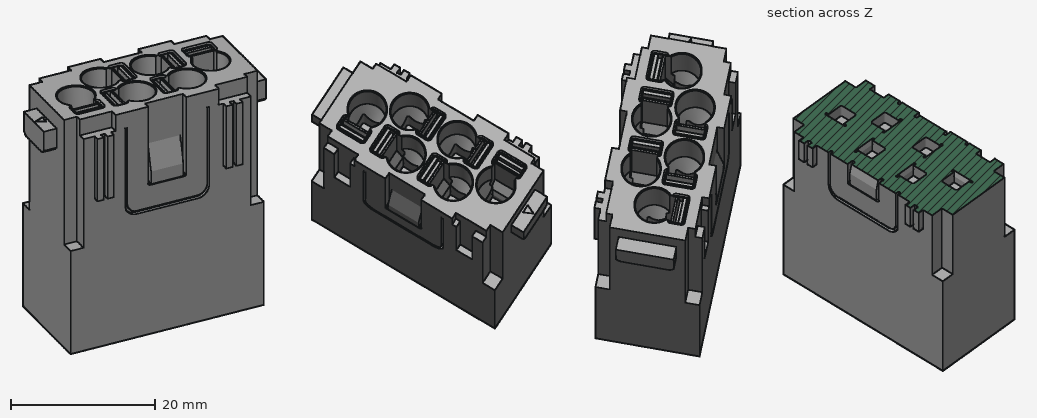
import cadquery as cq

WIDTH = 14.7
LENGTH = 30
HEIGHT = 36.6
HALF_WIDTH = WIDTH / 2
HALF_LENGTH = LENGTH / 2

CORNER_RELIEF = 2.0
CORNER_RELIEF_HEIGHT = 20.02
NOTCH_LENGTH = 4.98
NOTCH_HEIGHT = 2.55
NOTCH_DEPTH_LEFT = 1.0
NOTCH_DEPTH_RIGHT = 1.15
SHOULDER_Z = HEIGHT - NOTCH_HEIGHT

GUIDE_WIDTH = 2.55
GUIDE_HEIGHT = 10.0
GUIDE_INSET = 5.0
GUIDE_Y = HALF_LENGTH - GUIDE_INSET
RIB_HEIGHT = 0.88
RIB_SPLIT = 0.6

LATCH_WIDTH = 5.85
LATCH_HEIGHT = 12.65
LATCH_DEPTH = 1.0
LATCH_CORNER = 0.2
WEDGE_WIDTH = 5.0
WEDGE_TOP_Z = 30.1
WEDGE_CREST_Z = 26.05
WEDGE_BOTTOM_Z = 24.05
GROOVE_WIDTH = 13.03
GROOVE_BOTTOM_Z = 19.85
GROOVE_RADIUS = 1.8
GROOVE_SIDE = 0.33
GROOVE_BASE = 0.5
GROOVE_DEPTH = 0.55

TAB_SPAN = 34.0
TAB_REACH = (TAB_SPAN - LENGTH) / 2
TAB_HEIGHT = 3.6
TAB_CHAMFER = 0.5
FRONT_TAB_WIDTH = 6.15
BACK_TAB_WIDTH = 8.15
ARROW_WIDTH = 1.25
ARROW_LENGTH = 1.35
ARROW_INSET = 0.35
ARROW_DEPTH = 0.07

BORE_RADIUS = 2.65
BORE_CHAMFER = 0.15
BORE_DEPTH = 5.5
FUNNEL_DEPTH = 8.05
FUNNEL_END_RADIUS = 1.2
POCKET_WIDTH = 2.8
POCKET_NEAR = 1.35
POCKET_FAR = 1.2
POCKET_RADIUS = 0.3
POCKET_DEPTH = 10.98

NECK_WIDTH = 3.75
NECK_REACH = 2.7
NECK_DEPTH = 7.32
RAMP_REACH = 1.7
RAMP_DEPTH = 8.8
RAMP_END_DEPTH = 9.9
RIM_START = 2.25
RIM_END = 4.7
RIM_WIDTH = 4.65
RIM_RADIUS = 0.5
RIM_DEPTH = 0.22
RIM_TAPER = 45
STEP_END = 4.25
STEP_WIDTH = 3.95
STEP_DEPTH = 0.33
BLADE_START = 3.0
BLADE_END = 3.75
BLADE_SLOPE = 0.25
BLADE_DEPTH = 1.45

CAVITIES = [
    (-0.07, 10.45, 180),
    (2.78, 5.3, 270),
    (-2.78, 2.4, 90),
    (2.78, -2.45, 270),
    (-2.78, -5.3, 90),
    (0.07, -10.5, 0),
]


def block(x_range, y_range, z_range):
    """Box between pairs of coordinates."""
    lows, highs = zip(x_range, y_range, z_range)
    sizes = [high - low for low, high in zip(lows, highs)]
    return cq.Workplane("XY").box(*sizes, centered=False).translate(lows)


def cut_corners(body):
    notch_end = HALF_LENGTH - CORNER_RELIEF
    notch_start = notch_end - NOTCH_LENGTH
    for side, notch_depth in ((-1, NOTCH_DEPTH_LEFT), (1, NOTCH_DEPTH_RIGHT)):
        relief_x = sorted((side * HALF_WIDTH, side * (HALF_WIDTH - CORNER_RELIEF)))
        notch_x = sorted((side * HALF_WIDTH, side * (HALF_WIDTH - notch_depth)))
        for end in (-1, 1):
            relief_y = sorted((end * HALF_LENGTH, end * notch_end))
            notch_y = sorted((end * notch_end, end * notch_start))
            body = body.cut(block(relief_x, relief_y, (HEIGHT - CORNER_RELIEF_HEIGHT, HEIGHT)))
            body = body.cut(block(notch_x, notch_y, (SHOULDER_Z, HEIGHT)))
    return body


def add_guides(body):
    guide_z = (SHOULDER_Z - GUIDE_HEIGHT, SHOULDER_Z)
    slot_x = (-HALF_WIDTH, -HALF_WIDTH + NOTCH_DEPTH_LEFT)
    rib_x = (HALF_WIDTH, HALF_WIDTH + RIB_HEIGHT)
    for y in (-GUIDE_Y, GUIDE_Y):
        guide_y = (y - GUIDE_WIDTH / 2, y + GUIDE_WIDTH / 2)
        split_y = (y - RIB_SPLIT / 2, y + RIB_SPLIT / 2)
        body = body.cut(block(slot_x, guide_y, guide_z))
        body = body.union(block(rib_x, guide_y, guide_z).cut(block(rib_x, split_y, guide_z)))
    return body


def latch_groove():
    """U-shaped groove on the +X face, open at the shoulder height."""
    face_x = (HALF_WIDTH - GROOVE_DEPTH, HALF_WIDTH)
    outer_half = GROOVE_WIDTH / 2
    inner_half = outer_half - GROOVE_SIDE
    outer = block(face_x, (-outer_half, outer_half), (GROOVE_BOTTOM_Z, SHOULDER_Z))
    inner = block(face_x, (-inner_half, inner_half), (GROOVE_BOTTOM_Z + GROOVE_BASE, SHOULDER_Z))
    outer = outer.edges("|X and <Z").fillet(GROOVE_RADIUS)
    inner = inner.edges("|X and <Z").fillet(GROOVE_RADIUS - GROOVE_SIDE)
    return outer.cut(inner)


def latch_recess():
    """Recess on the +X face that leaves a wedge standing flush with the face."""
    floor_x = HALF_WIDTH - LATCH_DEPTH
    recess_y = (-LATCH_WIDTH / 2, LATCH_WIDTH / 2)
    recess = block((floor_x, HALF_WIDTH), recess_y, (HEIGHT - LATCH_HEIGHT, HEIGHT))
    recess = recess.edges("|X and <Z").chamfer(LATCH_CORNER)
    wedge_points = [
        (floor_x, WEDGE_BOTTOM_Z),
        (HALF_WIDTH, WEDGE_BOTTOM_Z),
        (HALF_WIDTH, WEDGE_CREST_Z),
        (floor_x, WEDGE_TOP_Z),
    ]
    wedge = cq.Workplane("XZ").polyline(wedge_points).close().extrude(WEDGE_WIDTH / 2, both=True)
    return recess.cut(wedge)


def cut_latches(body):
    for cutter in (latch_groove(), latch_recess()):
        body = body.cut(cutter).cut(cutter.mirror("YZ"))
    return body


def add_tabs(body):
    tab_z = (SHOULDER_Z - TAB_HEIGHT, SHOULDER_Z)
    for end, width in ((-1, FRONT_TAB_WIDTH), (1, BACK_TAB_WIDTH)):
        tab_y = sorted((end * HALF_LENGTH, end * (HALF_LENGTH + TAB_REACH)))
        tab = block((-width / 2, width / 2), tab_y, tab_z)
        body = body.union(tab.edges("|Y and <Z").chamfer(TAB_CHAMFER))
    base_y = -HALF_LENGTH - ARROW_INSET
    arrow_points = [
        (-ARROW_WIDTH / 2, base_y),
        (ARROW_WIDTH / 2, base_y),
        (0, base_y - ARROW_LENGTH),
    ]
    arrow = cq.Workplane("XY", origin=(0, 0, SHOULDER_Z)).polyline(arrow_points).close()
    return body.cut(arrow.extrude(-ARROW_DEPTH))


def bore_cutter():
    """Round bore and funnel below the plane Z = 0."""
    profile = [
        (0, 0),
        (BORE_RADIUS + BORE_CHAMFER, 0),
        (BORE_RADIUS, -BORE_CHAMFER),
        (BORE_RADIUS, -BORE_DEPTH),
        (FUNNEL_END_RADIUS, -FUNNEL_DEPTH),
        (0, -FUNNEL_DEPTH),
    ]
    return cq.Workplane("XZ").polyline(profile).close().revolve(360, (0, 0), (0, 1))


def release_slot_cutter():
    """Neck with a ramp towards the pocket, plus a stepped slot with a tapered rim, along +X."""
    neck_profile = [
        (POCKET_NEAR, 0),
        (NECK_REACH, 0),
        (NECK_REACH, -NECK_DEPTH),
        (RAMP_REACH, -RAMP_DEPTH),
        (POCKET_NEAR, -RAMP_END_DEPTH),
    ]
    blade_profile = [
        (NECK_REACH, 0),
        (STEP_END, 0),
        (STEP_END, -STEP_DEPTH),
        (BLADE_END, -STEP_DEPTH),
        (BLADE_END, -BLADE_DEPTH),
        (BLADE_START + BLADE_SLOPE, -BLADE_DEPTH),
        (BLADE_START, -STEP_DEPTH),
        (NECK_REACH, -STEP_DEPTH),
    ]
    neck = cq.Workplane("XZ").polyline(neck_profile).close().extrude(NECK_WIDTH / 2, both=True)
    blade = cq.Workplane("XZ").polyline(blade_profile).close().extrude(STEP_WIDTH / 2, both=True)
    rim = (
        cq.Workplane("XY")
        .sketch()
        .rect(RIM_END - RIM_START, RIM_WIDTH)
        .vertices()
        .fillet(RIM_RADIUS)
        .finalize()
        .extrude(-RIM_DEPTH, taper=RIM_TAPER)
        .translate(((RIM_START + RIM_END) / 2, 0, 0))
    )
    return neck.union(blade).union(rim)


def cavity_cutter():
    """Complete terminal cavity, opening at Z = 0 with its slot along +X."""
    pocket_y = (-POCKET_WIDTH / 2, POCKET_WIDTH / 2)
    pocket = block((-POCKET_FAR, POCKET_NEAR), pocket_y, (-POCKET_DEPTH, -BORE_DEPTH))
    pocket = pocket.edges("|Z and <X").fillet(POCKET_RADIUS)
    return bore_cutter().union(pocket).union(release_slot_cutter())


def cut_cavities(body):
    cutter = cavity_cutter()
    for x, y, angle in CAVITIES:
        placed = cutter.rotate((0, 0, 0), (0, 0, 1), angle).translate((x, y, HEIGHT))
        body = body.cut(placed)
    return body


housing = block((-HALF_WIDTH, HALF_WIDTH), (-HALF_LENGTH, HALF_LENGTH), (0, HEIGHT))
housing = cut_corners(housing)
housing = add_guides(housing)
housing = cut_latches(housing)
housing = add_tabs(housing)
result = cut_cavities(housing)